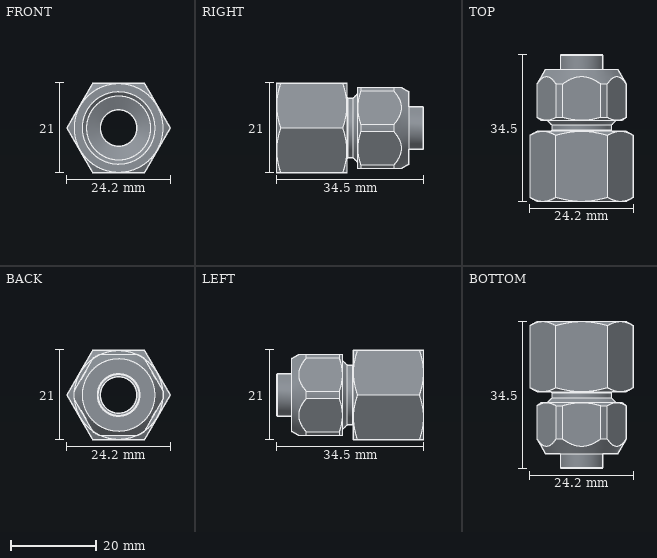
import cadquery as cq
import math

body_length = 16.53
neck_end = 17.95
flare_end = 18.98
nut_end = 31.0
total_length = 34.5

body_flats = 21.0
body_corners = body_flats / math.cos(math.pi / 6)
body_face_diameter = 20.8
body_chamfer = (body_corners - body_face_diameter) / 2 * math.tan(math.pi / 6)

collar_width = 0.2
collar_diameter = 14.35
neck_diameter = 14.0
flare_diameter = neck_diameter + 2 * (flare_end - neck_end)

nut_flats = 19.0
nut_corners = nut_flats / math.cos(math.pi / 6)
nut_turned_diameter = 21.0
nut_front_diameter = 18.77
nut_front_chamfer = 0.8
nut_back_diameter = 17.0
nut_back_taper = (nut_turned_diameter - nut_back_diameter) / 2 * math.tan(math.pi / 3)

tube_diameter = 10.0
tube_chamfer = 0.2
through_diameter = 8.5
socket_diameter = 15.0
mouth_diameter = 17.0
mouth_depth = (mouth_diameter - socket_diameter) / 2
socket_depth = 13.8
socket_cone_angle = math.radians(22)
socket_cone = (socket_diameter - through_diameter) / 2 * math.tan(socket_cone_angle)


def revolve(profile):
    """Turn a list of (diameter, station) points around the Y axis."""
    points = [(0, profile[0][1])]
    points += [(diameter / 2, station) for diameter, station in profile]
    points += [(0, profile[-1][1])]
    return cq.Workplane("XY").polyline(points).close().revolve(360, (0, 0), (0, 1))


def hexagon(corner_diameter, start, end):
    """Hexagonal bar along Y with two corners on the X axis."""
    plane = cq.Workplane("XZ", origin=(0, start, 0))
    return plane.polygon(6, corner_diameter).extrude(start - end)


body = hexagon(body_corners, 0, body_length).intersect(revolve([
    (body_face_diameter, 0),
    (body_corners, body_chamfer),
    (body_corners, body_length - body_chamfer),
    (body_face_diameter, body_length),
]))

neck = revolve([
    (collar_diameter, body_length),
    (neck_diameter, body_length + collar_width),
    (neck_diameter, neck_end),
    (flare_diameter, flare_end),
])

nut = hexagon(nut_corners, flare_end, nut_end).intersect(revolve([
    (nut_front_diameter, flare_end),
    (nut_turned_diameter, flare_end + nut_front_chamfer),
    (nut_turned_diameter, nut_end - nut_back_taper),
    (nut_back_diameter, nut_end),
]))

tube = revolve([
    (tube_diameter, nut_end),
    (tube_diameter, total_length - tube_chamfer),
    (tube_diameter - 2 * tube_chamfer, total_length),
])

bore = revolve([
    (mouth_diameter, 0),
    (socket_diameter, mouth_depth),
    (socket_diameter, socket_depth),
    (through_diameter, socket_depth + socket_cone),
    (through_diameter, total_length),
])

result = body.union(neck).union(nut).union(tube).cut(bore)